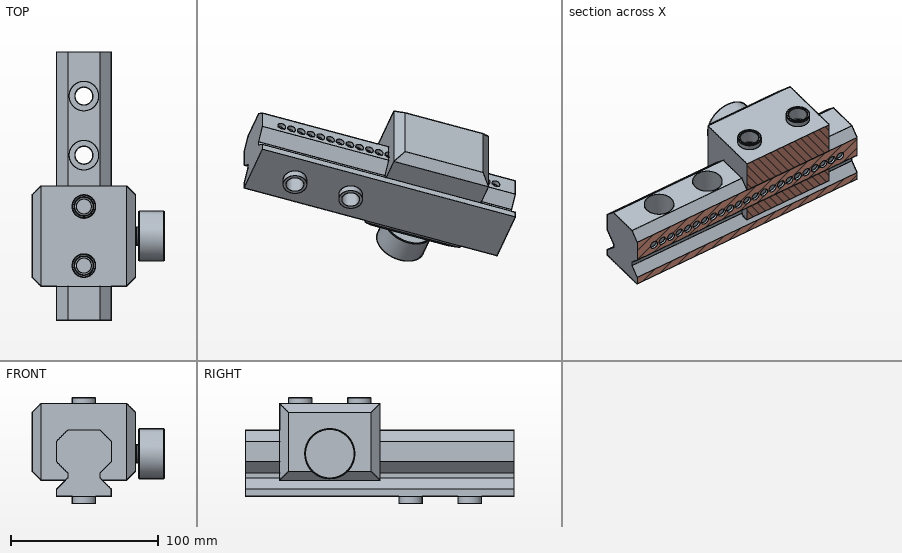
import cadquery as cq

rail_length = 182.0
rail_half_width = 18.5
rail_bevel = 7.6
foot_height = 5.0
neck_height = 3.3
head_side_height = 13.8
neck_half_width = rail_half_width - rail_bevel
neck_bottom = foot_height + rail_bevel
neck_top = neck_bottom + neck_height
head_side_bottom = neck_top + rail_bevel
head_side_top = head_side_bottom + head_side_height
rail_height = head_side_top + rail_bevel

spigot_diameter = 16.0
spigot_height = 5.0
bolt_hole_diameter = 12.0
counterbore_diameter = 20.0
counterbore_depth = 21.8
counterbore_floor = rail_height - counterbore_depth
bolt_pitch = 40.0
first_bolt_margin = 30.0
first_bolt_y = rail_length / 2 - first_bolt_margin
bolt_ys = [first_bolt_y, first_bolt_y - bolt_pitch]

index_hole_diameter = 5.5
index_hole_depth = 3.1
index_hole_floor = -rail_half_width + index_hole_depth
index_hole_count = 23
index_end_margin = 14.0
index_z = 29.0
index_first_y = rail_length / 2 - index_end_margin
index_pitch = 2 * index_first_y / (index_hole_count - 1)

carriage_width = 70.0
carriage_length = 68.0
carriage_height = 52.0
carriage_bottom = 11.0
carriage_bevel = 6.0
carriage_front_margin = 23.1
carriage_y = -rail_length / 2 + carriage_front_margin + carriage_length / 2
carriage_top = carriage_bottom + carriage_height
carriage_side = carriage_width / 2

sleeve_diameter = spigot_diameter
sleeve_bore = 12.5
sleeve_chamfer = 0.4
sleeve_protrusion = 4.0
sleeve_seat_depth = 6.0
sleeve_hole_diameter = 10.2
seat_floor = carriage_top - sleeve_seat_depth
sleeve_ys = [carriage_y - bolt_pitch / 2, carriage_y + bolt_pitch / 2]

bushing_diameter = 12.5
bushing_protrusion = 1.1
bushing_chamfer = 0.5
knob_diameter = 34.0
knob_length = 17.5
knob_chamfer = 0.5
knob_gap = 2.0
bushing_end = carriage_side + bushing_protrusion
knob_start = carriage_side + knob_gap


def cylinder_x(diameter, x_start, x_end, y, z):
    """Cylinder along X between two X positions."""
    return (
        cq.Workplane("YZ", origin=(x_start, y, z))
        .circle(diameter / 2)
        .extrude(x_end - x_start)
    )


def cylinder_z(diameter, y, z_start, z_end):
    """Cylinder along Z at X = 0 between two heights."""
    return (
        cq.Workplane("XY", origin=(0, y, z_start))
        .circle(diameter / 2)
        .extrude(z_end - z_start)
    )


def make_rail_profile():
    """Plain waisted prism of the rail, without holes or spigots."""
    right_side = [
        (rail_half_width, 0),
        (rail_half_width, foot_height),
        (neck_half_width, neck_bottom),
        (neck_half_width, neck_top),
        (rail_half_width, head_side_bottom),
        (rail_half_width, head_side_top),
        (neck_half_width, rail_height),
    ]
    left_side = [(-x, z) for x, z in reversed(right_side)]
    return (
        cq.Workplane("XZ")
        .polyline(right_side + left_side)
        .close()
        .extrude(rail_length / 2, both=True)
    )


def make_rail():
    """Rail with its two spigots, counterbored bolt holes and row of index holes."""
    rail = make_rail_profile()
    for y in bolt_ys:
        rail = rail.union(cylinder_z(spigot_diameter, y, -spigot_height, foot_height))
        rail = rail.cut(cylinder_z(bolt_hole_diameter, y, -spigot_height, rail_height))
        rail = rail.cut(cylinder_z(counterbore_diameter, y, counterbore_floor, rail_height))
    for i in range(index_hole_count):
        y = index_first_y - i * index_pitch
        rail = rail.cut(cylinder_x(index_hole_diameter, -rail_half_width, index_hole_floor, y, index_z))
    return rail


def make_carriage():
    """Block with bevelled ends, a channel that fits the rail, and seats for sleeves and bushing."""
    carriage = (
        cq.Workplane("XY", origin=(0, carriage_y, carriage_bottom))
        .box(carriage_width, carriage_length, carriage_height, centered=(True, True, False))
        .faces("<X or >X")
        .edges()
        .chamfer(carriage_bevel)
        .cut(make_rail_profile())
    )
    for y in sleeve_ys:
        carriage = carriage.cut(cylinder_z(sleeve_hole_diameter, y, rail_height, carriage_top))
        carriage = carriage.cut(cylinder_z(sleeve_diameter, y, seat_floor, carriage_top))
    return carriage.cut(make_bushing())


def make_sleeve(y):
    """Plain tube seated in the carriage, chamfered inside and outside at its top rim."""
    sleeve_top = carriage_top + sleeve_protrusion
    sleeve = cylinder_z(sleeve_diameter, y, seat_floor, sleeve_top)
    sleeve = sleeve.cut(cylinder_z(sleeve_bore, y, seat_floor, sleeve_top))
    return sleeve.faces(">Z").edges().chamfer(sleeve_chamfer)


def make_bushing():
    """Bushing from the rail flank out through the carriage wall, chamfered at its outer end."""
    bushing = cylinder_x(bushing_diameter, rail_half_width, bushing_end, carriage_y, index_z)
    return bushing.faces(">X").edges().chamfer(bushing_chamfer)


def make_knob():
    """Chamfered knob with a short hub that reaches back to the bushing."""
    knob = cylinder_x(knob_diameter, knob_start, knob_start + knob_length, carriage_y, index_z)
    knob = knob.edges().chamfer(knob_chamfer)
    hub = cylinder_x(bushing_diameter, bushing_end, knob_start + knob_chamfer, carriage_y, index_z)
    return knob.union(hub)


rail = make_rail()
carriage = make_carriage()
sleeves = [make_sleeve(y) for y in sleeve_ys]
bushing = make_bushing()
knob = make_knob()

result = cq.Compound.makeCompound(
    [rail.val(), carriage.val(), *[sleeve.val() for sleeve in sleeves], bushing.val(), knob.val()]
)